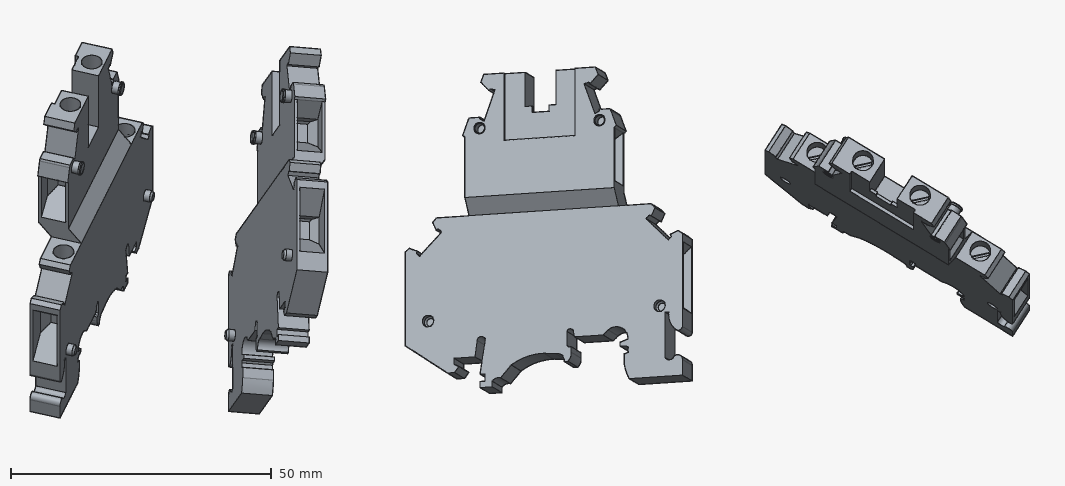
import cadquery as cq


total_height = 60.9
half_width = 28.0
storey_thickness = 6.1
storey_offset = 2.6
lower_top = 34.0
upper_bottom = 37.0
upper_half_width = 15.1

lower_face = storey_offset
upper_back = storey_thickness
lower_back = lower_face + storey_thickness

recess_half_width = 7.2
recess_depth = 0.7
recess_floor = 47.75
slot_half_width = 3.1
web_thickness = 0.6
web_shoulder = 54.2
web_notch_half_width = 1.7
web_notch_floor = 53.0

screw_diameter = 3.95
screw_depth = 3.65
screw_from_face = 3.6
upper_screw_y = 6.45
lower_screw_y = 18.45
driver_slot_width = 0.55
driver_slot_depth = 0.6
driver_slot_length = screw_diameter - driver_slot_width
driver_slot_angle = -45.0

funnel_wall = 0.6
funnel_face_taper = 1.45
funnel_back_taper = 0.35
upper_funnel_mouth = (38.4, 48.8)
upper_funnel_throat = (42.25, 46.05)
upper_funnel_depth = 5.8
lower_funnel_mouth = (13.15, 26.2)
lower_funnel_throat = (18.0, 21.7)
lower_funnel_depth = 6.45

lower_pin_y, lower_pin_z = 23.4, 13.9
lower_pin_diameter = 2.25
lower_pin_tip_diameter = 1.6
lower_pin_length = 1.65
lower_pin_tip_length = 0.4
upper_pin_y, upper_pin_z = 12.1, 50.4
upper_pin_diameter = 2.45
upper_pin_head_diameter = 2.7
upper_pin_head_length = 0.5
upper_pin_length = 1.8
upper_pin_edge = 0.2
upper_socket_diameter = 2.25
upper_socket_depth = 1.8
upper_socket_chamfer = 0.2


def mirrored(points):
    """The points reflected in the middle plane, in reverse order."""
    return [(-y, z) for y, z in reversed(points)]


def block(x_range, y_range, z_range):
    """Box between the given limits."""
    spans = [high - low for low, high in (x_range, y_range, z_range)]
    corner = (x_range[0], y_range[0], z_range[0])
    return cq.Workplane("XY").box(*spans, centered=False).translate(corner)


def upper_storey():
    """Upper storey: symmetrical plate with hooked marker grooves on its shoulders."""
    half_outline = [
        (11.25, total_height),
        (11.9, 59.4),
        (10.2, 57.6),
        (9.9, 58.0),
        (9.0, 57.75),
        (11.2, 51.75),
        (12.1, 52.25),
        (12.0, 52.55),
        (14.2, 52.55),
        (14.45, 52.1),
        (15.5, 49.2),
        (upper_half_width, 48.8),
        (upper_half_width, upper_bottom),
    ]
    outline = half_outline + mirrored(half_outline)
    return cq.Workplane("YZ").polyline(outline).close().extrude(storey_thickness)


def neck():
    """Sloped neck that carries the upper storey over to the lower one."""
    return (
        cq.Workplane("XZ", origin=(0, upper_half_width, 0))
        .moveTo(0, upper_bottom)
        .lineTo(upper_back, upper_bottom)
        .lineTo(lower_back, lower_top)
        .lineTo(lower_face, lower_top)
        .close()
        .extrude(2 * upper_half_width)
    )


def lower_storey():
    """Lower storey: symmetrical top, and a foot with rail hooks along the bottom."""
    half_top = [
        (21.7, lower_top),
        (22.5, 33.1),
        (21.75, 31.55),
        (21.4, 31.8),
        (20.65, 31.1),
        (25.15, 26.7),
        (25.75, 27.3),
        (25.5, 27.7),
        (27.15, 28.4),
        (half_width, 27.7),
    ]
    outline = cq.Workplane("YZ", origin=(lower_face, 0, 0)).polyline(mirrored(half_top) + half_top)
    outline = (
        outline
        .lineTo(half_width, 9.3)
        .lineTo(19.55, 3.5)
        .lineTo(18.0, 3.5)
        .lineTo(17.1, 4.6)
        .lineTo(18.15, 5.1)
        .lineTo(18.15, 6.3)
        .lineTo(13.9, 6.3)
        .lineTo(13.45, 9.45)
        .threePointArc((12.65, 10.2), (11.8, 9.45))
        .lineTo(12.9, 2.8)
        .lineTo(11.9, 2.8)
        .lineTo(11.9, 1.4)
        .lineTo(12.9, 1.4)
        .lineTo(12.9, 0.2)
        .lineTo(10.4, 0.2)
        .lineTo(10.4, 1.3)
        .threePointArc((10.1, 1.6), (8.7, 1.8))
        .lineTo(6.6, 4.2)
        .threePointArc((3.6, 5.6), (0.0, 6.1))
        .lineTo(-2.45, 5.85)
        .threePointArc((-3.65, 5.5), (-4.1, 4.2))
        .lineTo(-4.9, 4.2)
        .threePointArc((-5.4, 5.0), (-5.55, 5.9))
        .lineTo(-5.55, 7.0)
        .lineTo(-5.0, 7.0)
        .lineTo(-4.7, 7.3)
        .lineTo(-4.7, 10.05)
        .threePointArc((-5.3, 10.55), (-5.95, 10.05))
        .lineTo(-6.2, 8.9)
        .lineTo(-12.0, 8.9)
        .lineTo(-13.05, 9.8)
        .threePointArc((-15.6, 10.1), (-17.0, 7.8))
        .lineTo(-15.4, 7.25)
        .lineTo(-15.4, 6.45)
        .lineTo(-16.7, 6.45)
        .lineTo(-17.05, 6.1)
        .lineTo(-17.05, 5.2)
        .lineTo(-16.25, 4.95)
        .lineTo(-16.25, 2.8)
        .threePointArc((-16.6, 1.4), (-17.25, 0.0))
        .lineTo(-half_width, 0.0)
        .lineTo(-half_width, 3.05)
        .threePointArc((-27.05, 4.1), (-26.1, 3.5))
        .threePointArc((-25.45, 3.15), (-24.55, 3.65))
        .lineTo(-24.55, 12.55)
        .lineTo(-25.3, 12.55)
        .threePointArc((-25.6, 10.5), (-26.6, 9.1))
        .threePointArc((-27.35, 8.85), (-half_width, 9.5))
        .close()
    )
    return outline.extrude(storey_thickness)


def top_slot():
    """Slot open to the top and the +X face, bounded on the -X side by the thin web."""
    web_face = recess_depth
    web_back = web_face + web_thickness
    slot_y = (-slot_half_width, slot_half_width)
    notch_y = (-web_notch_half_width, web_notch_half_width)
    return (
        block((web_back, upper_back), slot_y, (recess_floor, total_height))
        .union(block((web_face, web_back), slot_y, (web_shoulder, total_height)))
        .union(block((web_face, web_back), notch_y, (web_notch_floor, total_height)))
    )


def face_recess():
    """Shallow recess in the -X face of the upper storey, open to the top."""
    return block(
        (0, recess_depth),
        (-recess_half_width, recess_half_width),
        (recess_floor, total_height),
    )


def screw_hole(x, y, top):
    """Hole down to the screw head, with the driver slot sunk into the head."""
    hole = cq.Workplane("XY", origin=(x, y, top)).circle(screw_diameter / 2).extrude(-screw_depth)
    driver_slot = (
        cq.Workplane("XY", origin=(x, y, top - screw_depth))
        .transformed(rotate=(0, 0, driver_slot_angle))
        .rect(driver_slot_length, driver_slot_width)
        .extrude(-driver_slot_depth)
    )
    return hole.union(driver_slot)


def wire_funnel(face_x, mouth_y, mouth, throat, depth):
    """Funnel in the -Y flank: its floor and roof slope first, then its sides draw in as well.

    `mouth` and `throat` are the (floor, roof) heights at the flank and at the inner end.
    """
    slope = (throat[0] - mouth[0]) / depth
    face_bend = depth - funnel_face_taper / slope
    back_bend = depth - funnel_back_taper / slope
    roof_step = throat[1] + funnel_back_taper
    start = -mouth_y
    profile = [
        (start, mouth[0]),
        (start + depth, throat[0]),
        (start + depth, throat[1]),
        (start + back_bend, roof_step),
        (start + face_bend, roof_step),
        (start, mouth[1]),
    ]
    near_x = face_x + funnel_wall
    far_x = face_x + storey_thickness - funnel_wall
    plan = [
        (near_x, start),
        (far_x, start),
        (far_x, start + back_bend),
        (far_x - funnel_back_taper, start + depth),
        (near_x + funnel_face_taper, start + depth),
        (near_x, start + face_bend),
    ]
    sides = cq.Workplane("XY").polyline(plan).close().extrude(total_height)
    wedge = cq.Workplane("YZ", origin=(face_x, 0, 0)).polyline(profile).close().extrude(storey_thickness)
    return wedge.intersect(sides)


def turned(profile, x, y, z):
    """Solid of revolution about an X-parallel axis; `profile` is (length, radius) pairs."""
    outline = [(0, 0)] + profile + [(profile[-1][0], 0)]
    return (
        cq.Workplane("XY")
        .polyline(outline)
        .close()
        .revolve(360, (0, 0, 0), (1, 0, 0))
        .translate((x, y, z))
    )


lower_pin_profile = [
    (0, lower_pin_diameter / 2),
    (lower_pin_length - lower_pin_tip_length, lower_pin_diameter / 2),
    (lower_pin_length, lower_pin_tip_diameter / 2),
]
upper_pin_profile = [
    (0, upper_pin_diameter / 2),
    (upper_pin_length - upper_pin_head_length, upper_pin_diameter / 2),
    (upper_pin_length - upper_pin_head_length, upper_pin_head_diameter / 2),
    (upper_pin_length - upper_pin_edge, upper_pin_head_diameter / 2),
    (upper_pin_length, upper_pin_head_diameter / 2 - upper_pin_edge),
]
upper_socket_profile = [
    (0, upper_socket_diameter / 2),
    (upper_socket_chamfer, upper_socket_diameter / 2 - upper_socket_chamfer),
    (upper_socket_depth, upper_socket_diameter / 2 - upper_socket_chamfer),
]

result = lower_storey().union(neck()).union(upper_storey())
result = result.cut(top_slot()).cut(face_recess())

upper_funnel = wire_funnel(
    0, upper_half_width, upper_funnel_mouth, upper_funnel_throat, upper_funnel_depth
)
lower_funnel = wire_funnel(
    lower_face, half_width, lower_funnel_mouth, lower_funnel_throat, lower_funnel_depth
)
for funnel in (upper_funnel, lower_funnel):
    result = result.cut(funnel).cut(funnel.mirror("XZ"))

for side in (-1, 1):
    result = result.cut(screw_hole(screw_from_face, side * upper_screw_y, total_height))
    result = result.cut(screw_hole(lower_face + screw_from_face, side * lower_screw_y, lower_top))
    result = result.cut(turned(upper_socket_profile, 0, side * upper_pin_y, upper_pin_z))
    result = result.cut(turned(lower_pin_profile, lower_face, side * lower_pin_y, lower_pin_z))
    result = result.union(turned(upper_pin_profile, upper_back, side * upper_pin_y, upper_pin_z))
    result = result.union(turned(lower_pin_profile, lower_back, side * lower_pin_y, lower_pin_z))